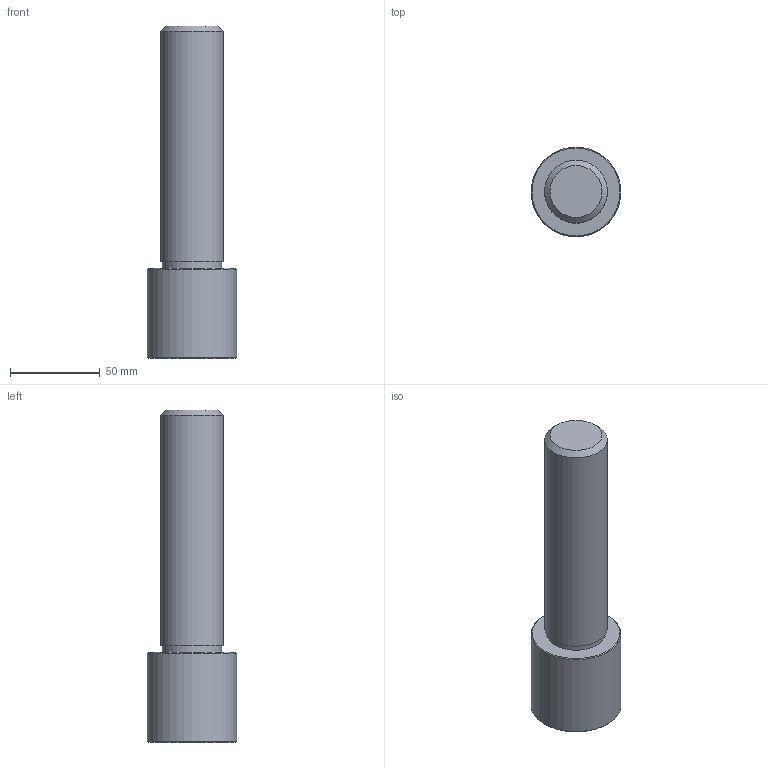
import cadquery as cq

total_length = 185.0

head_diameter = 50.0
head_height = 50.0
head_chamfer = 0.5

neck_diameter = 33.0
neck_height = 3.5

shank_diameter = 35.0
shank_chamfer = 3.0
shank_height = total_length - head_height - neck_height


def make_head():
    """Head standing on the XY plane, both rims chamfered."""
    head = cq.Workplane("XY").circle(head_diameter / 2).extrude(head_height)
    return head.faces("<Z or >Z").chamfer(head_chamfer)


def make_neck():
    """Relief groove core on top of the head."""
    neck = cq.Workplane("XY").workplane(offset=head_height)
    return neck.circle(neck_diameter / 2).extrude(neck_height)


def make_shank():
    """Long shank above the neck, chamfered at the top end."""
    shank = cq.Workplane("XY").workplane(offset=head_height + neck_height)
    shank = shank.circle(shank_diameter / 2).extrude(shank_height)
    return shank.faces(">Z").chamfer(shank_chamfer)


result = make_head().union(make_neck()).union(make_shank())